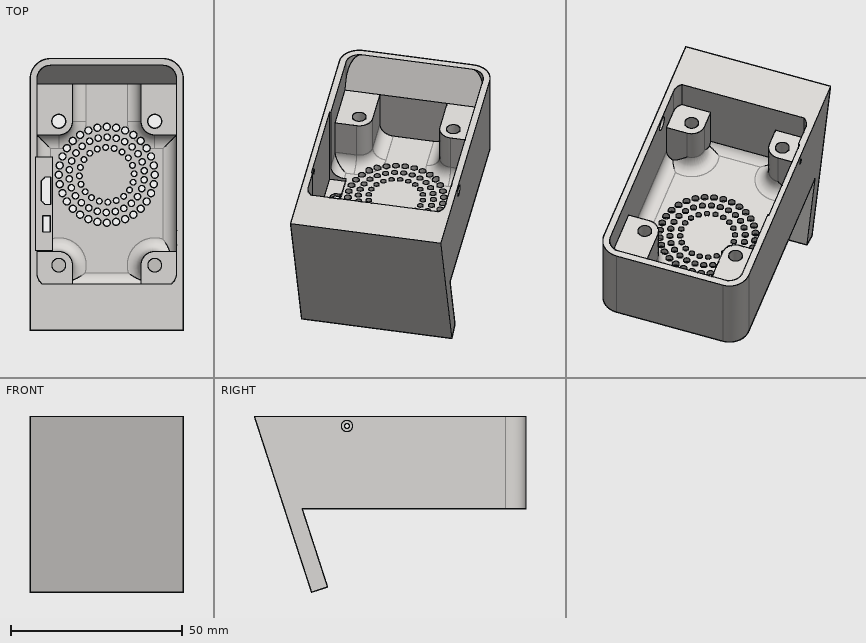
import cadquery as cq
import math


WIDTH = 44.76
LENGTH = 79.37
HEIGHT = 27.0
WALL = 2.0
FLOOR = 2.0
OUTER_RADIUS = 6.0
INNER_RADIUS = OUTER_RADIUS - WALL
FLOOR_FILLET = 4.0
FLOOR_Z = FLOOR - HEIGHT
INNER_HALF_WIDTH = WIDTH / 2 - WALL
INNER_BACK = LENGTH - WALL
CAVITY_FRONT = 12.7
BLOCK_BACK = 13.57

TILT = math.radians(18)
PLATE_LENGTH = 54.0
PLATE_THICKNESS = 5.0

BOSS_X = 14.0
FRONT_BOSS_Y = 19.02
BOSS_SPACING_Y = 42.0
REAR_BOSS_Y = FRONT_BOSS_Y + BOSS_SPACING_Y
BOSS_RADIUS = 4.0
BOSS_TOP_Z = -9.6
BOSS_HOLE_DIAMETER = 4.0

REAR_SLOPE = math.radians(30)
REAR_WALL_Y = INNER_BACK + BOSS_TOP_Z * math.tan(REAR_SLOPE)

GRILLE_Y = 45.4
GRILLE_RINGS = [
    (14.0, 2.0, 32, 0.0),
    (11.0, 1.8, 26, 6.2),
    (8.0, 1.6, 20, 2.2),
]

BOARD_LEFT = -20.75
BOARD_RIGHT = -15.8
BOARD_FRONT = 23.3
BOARD_BACK = 50.6
BOARD_DEPTH = 1.0
BOARD_Z = FLOOR_Z - BOARD_DEPTH
USB_LEFT = -19.1
USB_RIGHT = -16.4
USB_FRONT = 36.75
USB_BACK = 44.7
USB_CORNER = 1.1
SWITCH_LEFT = -18.65
SWITCH_RIGHT = -16.55
SWITCH_FRONT = 28.75
SWITCH_BACK = 33.4

LAMP_Y = 27.05
LAMP_Z = -2.8
LEFT_LAMP_DIAMETER = 1.4
RIGHT_LAMP_DIAMETER = 3.3
LAMP_SEAT_DIAMETER = 4.2
LAMP_SEAT_DEPTH = 1.3


def box(x0, x1, y0, y1, z0, z1):
    """Block between opposite corners."""
    return cq.Workplane("XY").box(x1 - x0, y1 - y0, z1 - z0, centered=False).translate((x0, y0, z0))


def drill(x, y, diameter, top):
    """Upright cylinder from the underside up to the given height."""
    return cq.Workplane("XY", origin=(x, y, -HEIGHT)).circle(diameter / 2).extrude(top + HEIGHT)


def side_prism(points, half_width):
    """Extrude a (Y, Z) outline symmetrically about X = 0."""
    return cq.Workplane("YZ").polyline(points).close().extrude(half_width, both=True)


def make_body():
    """Solid housing block joined to the tilted plate, with rounded rear corners."""
    tip_y = PLATE_LENGTH * math.sin(TILT)
    tip_z = -PLATE_LENGTH * math.cos(TILT)
    back_tip_y = tip_y + PLATE_THICKNESS * math.cos(TILT)
    back_tip_z = tip_z + PLATE_THICKNESS * math.sin(TILT)
    plate_back_y = PLATE_THICKNESS / math.cos(TILT) + HEIGHT * math.tan(TILT)
    outline = [
        (0, 0),
        (LENGTH, 0),
        (LENGTH, -HEIGHT),
        (plate_back_y, -HEIGHT),
        (back_tip_y, back_tip_z),
        (tip_y, tip_z),
    ]
    body = side_prism(outline, WIDTH / 2)
    return body.edges("|Z and >Y").fillet(OUTER_RADIUS)


def boss_column(side, boss_y, wall_y):
    """Boss of full height, rounded about its screw hole and running into the side and end walls."""
    end_direction = math.copysign(1, wall_y - boss_y)
    inner_x = side * (BOSS_X - BOSS_RADIUS)
    inner_y = boss_y - end_direction * BOSS_RADIUS
    diagonal = BOSS_RADIUS * math.sqrt(0.5)
    arc_middle = (side * (BOSS_X - diagonal), boss_y - end_direction * diagonal)
    wall_x = side * WIDTH / 2
    return (
        cq.Workplane("XY", origin=(0, 0, FLOOR_Z))
        .moveTo(wall_x, wall_y)
        .lineTo(inner_x, wall_y)
        .lineTo(inner_x, boss_y)
        .threePointArc(arc_middle, (side * BOSS_X, inner_y))
        .lineTo(wall_x, inner_y)
        .close()
        .extrude(BOSS_TOP_Z - FLOOR_Z)
    )


def flare_profile(plane):
    """Section of the concave foot of a boss, on a plane whose origin is the boss axis at the floor."""
    foot_radius = BOSS_RADIUS + FLOOR_FILLET
    arc_offset = FLOOR_FILLET * (1 - math.sqrt(0.5))
    return (
        cq.Workplane(plane)
        .lineTo(foot_radius, 0)
        .threePointArc((BOSS_RADIUS + arc_offset, arc_offset), (BOSS_RADIUS, FLOOR_FILLET))
        .lineTo(0, FLOOR_FILLET)
        .close()
    )


def round_flare(side, boss_y):
    """Foot turned all round the axis of a boss."""
    plane = cq.Plane(origin=(side * BOSS_X, boss_y, FLOOR_Z), xDir=(1, 0, 0), normal=(0, -1, 0))
    return flare_profile(plane).revolve(360, (0, 0), (0, 1))


def straight_flares(side, boss_y, wall_y):
    """Foot along the two flat sides of a rear boss, running to the end wall and the side wall."""
    origin = (side * BOSS_X, boss_y, FLOOR_Z)
    to_center = cq.Plane(origin=origin, xDir=(-side, 0, 0), normal=(0, side, 0))
    to_front = cq.Plane(origin=origin, xDir=(0, -1, 0), normal=(-1, 0, 0))
    along_y = flare_profile(to_center).extrude(side * (wall_y - boss_y))
    along_x = flare_profile(to_front).extrude(-side * (WIDTH / 2 - BOSS_X))
    return along_y.union(along_x)


def front_boss(side):
    """Front boss: only its round part has a flared foot, which is cut off by the flat sides."""
    return boss_column(side, FRONT_BOSS_Y, BLOCK_BACK).union(round_flare(side, FRONT_BOSS_Y))


def rear_boss(side):
    """Rear boss: its foot is flared along the flat sides as well as round the corner."""
    column = boss_column(side, REAR_BOSS_Y, REAR_WALL_Y)
    foot = straight_flares(side, REAR_BOSS_Y, REAR_WALL_Y).union(round_flare(side, REAR_BOSS_Y))
    return column.union(foot)


def make_cavity():
    """Hollow of the housing: rounded pocket less the rear wedge, front block and bosses."""
    cavity = box(-INNER_HALF_WIDTH, INNER_HALF_WIDTH, CAVITY_FRONT, INNER_BACK, FLOOR_Z, 0)
    cavity = cavity.edges("|Z").fillet(INNER_RADIUS)
    cavity = cavity.faces("<Z").edges().fillet(FLOOR_FILLET)
    wedge_outline = [
        (INNER_BACK, 0),
        (REAR_WALL_Y, BOSS_TOP_Z),
        (REAR_WALL_Y, -HEIGHT),
        (LENGTH, -HEIGHT),
        (LENGTH, 0),
    ]
    rear_wedge = side_prism(wedge_outline, WIDTH / 2)
    front_block = box(-WIDTH / 2, WIDTH / 2, 0, BLOCK_BACK, -HEIGHT, 0)
    cavity = cavity.cut(rear_wedge).cut(front_block)
    for side in (-1, 1):
        cavity = cavity.cut(front_boss(side)).cut(rear_boss(side))
    return cavity


def boss_holes():
    """Screw holes through all four bosses and the floor."""
    holes = cq.Workplane("XY")
    for x in (-BOSS_X, BOSS_X):
        for y in (FRONT_BOSS_Y, REAR_BOSS_Y):
            holes = holes.add(drill(x, y, BOSS_HOLE_DIAMETER, BOSS_TOP_Z))
    return holes.combine()


def grille_holes():
    """Rings of small sound holes through the floor."""
    holes = cq.Workplane("XY")
    for radius, diameter, count, first_angle in GRILLE_RINGS:
        for i in range(count):
            angle = math.radians(first_angle + 360 * i / count)
            x = radius * math.cos(angle)
            y = GRILLE_Y + radius * math.sin(angle)
            holes = holes.add(drill(x, y, diameter, FLOOR_Z + FLOOR_FILLET))
    return holes.combine()


def board_recess():
    """Board recess with the floor openings for the USB socket and the switch."""
    recess = box(BOARD_LEFT, BOARD_RIGHT, BOARD_FRONT, BOARD_BACK, BOARD_Z, 0)
    usb = box(USB_LEFT, USB_RIGHT, USB_FRONT, USB_BACK, -HEIGHT, BOARD_Z)
    usb = usb.edges("|Z and <X").chamfer(USB_CORNER)
    switch = box(SWITCH_LEFT, SWITCH_RIGHT, SWITCH_FRONT, SWITCH_BACK, -HEIGHT, BOARD_Z)
    return recess.union(usb).union(switch)


def lamp_holes():
    """Small hole in the left wall; larger hole seated from inside in the right wall."""
    axis = cq.Workplane("YZ", origin=(0, LAMP_Y, LAMP_Z))
    left = axis.circle(LEFT_LAMP_DIAMETER / 2).extrude(-WIDTH / 2)
    right = axis.circle(RIGHT_LAMP_DIAMETER / 2).extrude(WIDTH / 2)
    seat = axis.circle(LAMP_SEAT_DIAMETER / 2).extrude(INNER_HALF_WIDTH + LAMP_SEAT_DEPTH)
    return left.union(right).union(seat)


result = make_body().cut(make_cavity())
result = result.cut(board_recess())
result = result.cut(boss_holes())
result = result.cut(grille_holes())
result = result.cut(lamp_holes())